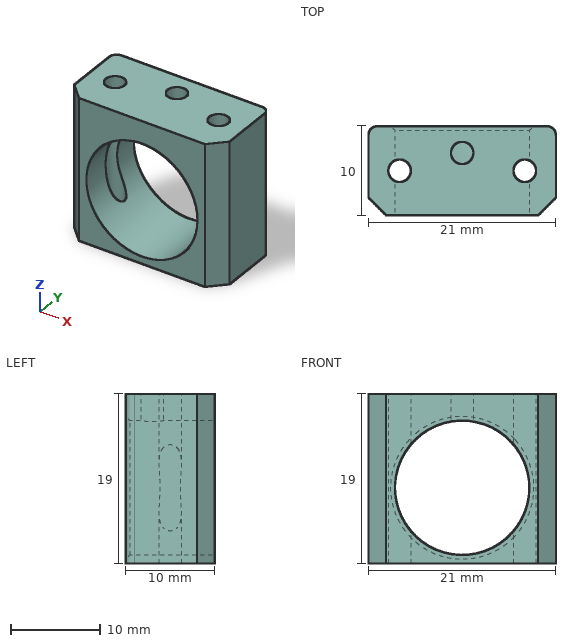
import cadquery as cq

width = 21.0
depth = 10.0
height = 19.0
front_chamfer = 2.0
rear_fillet = 1.0

bore_diameter = 15.02
bore_drop = 1.0
bore_rear_chamfer = 0.5
bore_center_z = height / 2 - bore_drop

hole_diameter = 2.5
side_hole_spacing = 14.0
middle_hole_y = 2.0


def make_block():
    """Block with its base on Z = 0, chamfered at the front and rounded at the rear."""
    block = cq.Workplane("XY").box(width, depth, height, centered=(True, True, False))
    block = block.faces("<Y").edges("|Z").chamfer(front_chamfer)
    return block.faces(">Y").edges("|Z").fillet(rear_fillet)


def make_bore():
    """Through cylinder that widens in a 45 degree chamfer at the rear face."""
    cylinder = (
        cq.Workplane("XZ")
        .center(0, bore_center_z)
        .circle(bore_diameter / 2)
        .extrude(depth / 2, both=True)
    )
    rear_cone = (
        cq.Workplane("XZ", origin=(0, depth / 2, bore_center_z))
        .circle(bore_diameter / 2 + bore_rear_chamfer)
        .extrude(bore_rear_chamfer, taper=45)
    )
    return cylinder.union(rear_cone)


def make_vertical_hole(x, y, bottom_z):
    """Cylinder from bottom_z up to the top face."""
    return (
        cq.Workplane("XY", origin=(x, y, bottom_z))
        .circle(hole_diameter / 2)
        .extrude(height - bottom_z)
    )


result = make_block().cut(make_bore())

for side in (-1, 1):
    result = result.cut(make_vertical_hole(side * side_hole_spacing / 2, 0, 0))

result = result.cut(make_vertical_hole(0, middle_hole_y, bore_center_z))